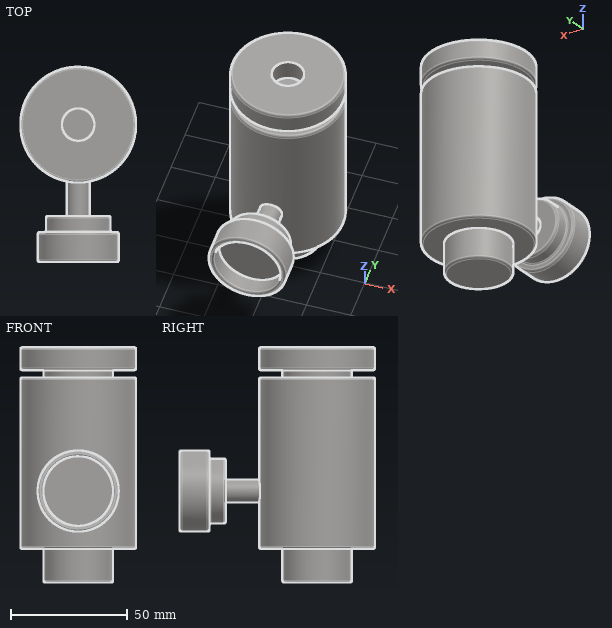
import cadquery as cq

outer_diameter = 50.0
spindle_diameter = 30.0
cap_hole_diameter = 14.0
edge_round = 1.0

spindle_projection = 14.5
sleeve_height = 74.0
cap_gap = 3.0
cap_height = 9.9

screw_diameter = 10.0
screw_height_in_sleeve = 25.0
screw_exposed_length = 14.3

knob_diameter = 35.0
knob_rim_length = 13.0
knob_recess_diameter = 30.0
knob_recess_depth = 8.1
collar_diameter = 28.0
collar_length = 7.0
collar_root_round = 0.6

sleeve_bottom = spindle_projection
cap_bottom = sleeve_bottom + sleeve_height + cap_gap
screw_z = sleeve_bottom + screw_height_in_sleeve
screw_tip = spindle_diameter / 2
knob_back = outer_diameter / 2 + screw_exposed_length
knob_end = knob_back + collar_length + knob_rim_length


def upright_cylinder(diameter, bottom, height):
    """Cylinder about the main axis."""
    return cq.Workplane("XY", origin=(0, 0, bottom)).circle(diameter / 2).extrude(height)


def radial_cylinder(diameter, start, end):
    """Cylinder about the screw axis, between two distances out along -Y."""
    return cq.Workplane("XZ", origin=(0, -start, screw_z)).circle(diameter / 2).extrude(end - start)


def make_spindle():
    """Round bar through the sleeve up to the underside of the cap."""
    return upright_cylinder(spindle_diameter, 0, cap_bottom).faces("<Z").edges().fillet(edge_round)


def make_sleeve():
    """Round body with a spindle bore and a radial hole for the clamping screw."""
    sleeve = upright_cylinder(outer_diameter, sleeve_bottom, sleeve_height)
    sleeve = sleeve.faces("<Z or >Z").edges().fillet(edge_round)
    sleeve = sleeve.cut(upright_cylinder(spindle_diameter, sleeve_bottom, sleeve_height))
    return sleeve.cut(radial_cylinder(screw_diameter, 0, knob_back))


def make_cap():
    """Disc seated on the spindle, with a central through hole."""
    cap = upright_cylinder(outer_diameter, cap_bottom, cap_height)
    cap = cap.faces("<Z or >Z").edges().fillet(edge_round)
    return cap.cut(upright_cylinder(cap_hole_diameter, cap_bottom, cap_height))


def make_clamping_screw():
    """Plain shank from the spindle surface to the back of the knob."""
    return radial_cylinder(screw_diameter, screw_tip, knob_back)


def make_knob():
    """Stepped knob with a recessed outer end."""
    rim_start = knob_back + collar_length
    rim = radial_cylinder(knob_diameter, rim_start, knob_end)
    rim = rim.faces(">Y").edges().fillet(edge_round)
    rim = rim.cut(radial_cylinder(knob_recess_diameter, knob_end - knob_recess_depth, knob_end))
    rim = rim.faces("<Y").edges().fillet(edge_round)
    collar = radial_cylinder(collar_diameter, knob_back, rim_start)
    collar = collar.faces(">Y").edges().fillet(edge_round)
    knob = rim.union(collar)
    step_face = knob.faces("+Y").faces(cq.selectors.CenterNthSelector(cq.Vector(0, 1, 0), -2))
    return step_face.edges(cq.selectors.RadiusNthSelector(0)).fillet(collar_root_round)


spindle = make_spindle()
sleeve = make_sleeve()
cap = make_cap()
clamping_screw = make_clamping_screw()
knob = make_knob()

result = cq.Compound.makeCompound([
    spindle.val(),
    sleeve.val(),
    cap.val(),
    clamping_screw.val(),
    knob.val(),
])